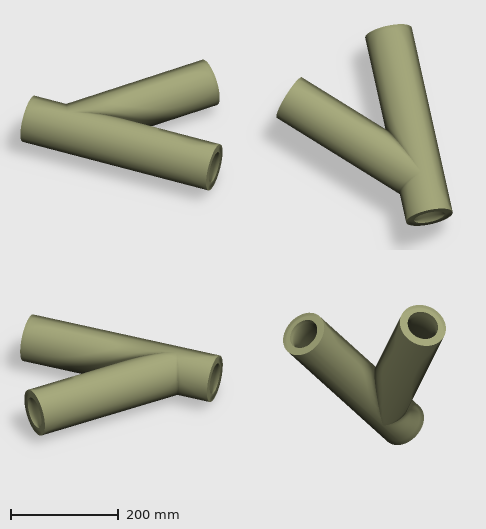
import cadquery as cq
import math

run_length = 368.3
outer_diameter = 88.8
bore_diameter = 58.5
branch_angle = 45.0
branch_length = 292.5
junction_x = 76.0

angle = math.radians(branch_angle)
run_direction = cq.Vector(1, 0, 0)
branch_direction = cq.Vector(math.cos(angle), math.sin(angle), 0)
run_start = cq.Vector(0, 0, 0)
junction = cq.Vector(junction_x, 0, 0)


def wye(diameter):
    """Straight run joined by the angled branch, both as solid round bars."""
    radius = diameter / 2
    run = cq.Solid.makeCylinder(radius, run_length, run_start, run_direction)
    branch = cq.Solid.makeCylinder(radius, branch_length, junction, branch_direction)
    return cq.Workplane(obj=run).union(cq.Workplane(obj=branch))


result = wye(outer_diameter).cut(wye(bore_diameter))